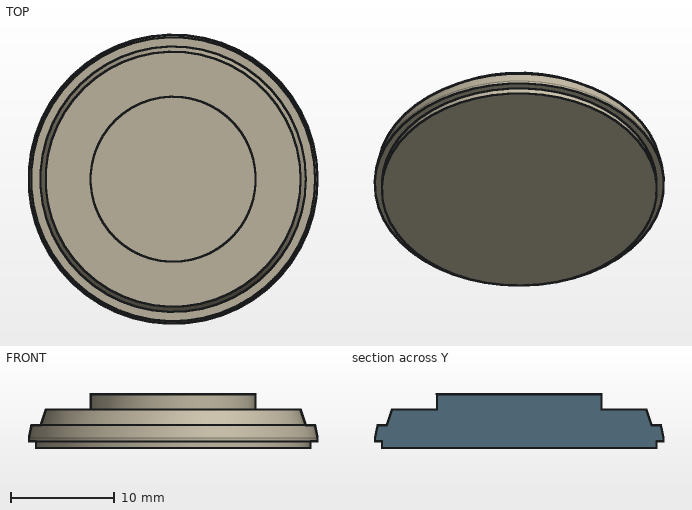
import cadquery as cq

total_height = 5.25

base_diameter = 26.63
base_height = 0.67

flange_diameter = 28.0
flange_top_diameter = 27.5
rim_height = 0.35
flange_top_z = 2.25

shoulder_bottom_diameter = 25.7
shoulder_top_diameter = 24.7
shoulder_top_z = 3.75

boss_diameter = 16.0


def disc(diameter, bottom_z, top_z):
    """Cylinder on the Z axis."""
    return cq.Workplane("XY").workplane(offset=bottom_z).circle(diameter / 2).extrude(top_z - bottom_z)


def tapered_disc(bottom_diameter, top_diameter, bottom_z, top_z):
    """Truncated cone on the Z axis."""
    return (
        cq.Workplane("XY")
        .workplane(offset=bottom_z)
        .circle(bottom_diameter / 2)
        .workplane(offset=top_z - bottom_z)
        .circle(top_diameter / 2)
        .loft()
    )


rim_top_z = base_height + rim_height

base = disc(base_diameter, 0, base_height)
rim = disc(flange_diameter, base_height, rim_top_z)
flange = tapered_disc(flange_diameter, flange_top_diameter, rim_top_z, flange_top_z)
shoulder = tapered_disc(shoulder_bottom_diameter, shoulder_top_diameter, flange_top_z, shoulder_top_z)
boss = disc(boss_diameter, shoulder_top_z, total_height)

result = base.union(rim).union(flange).union(shoulder).union(boss)